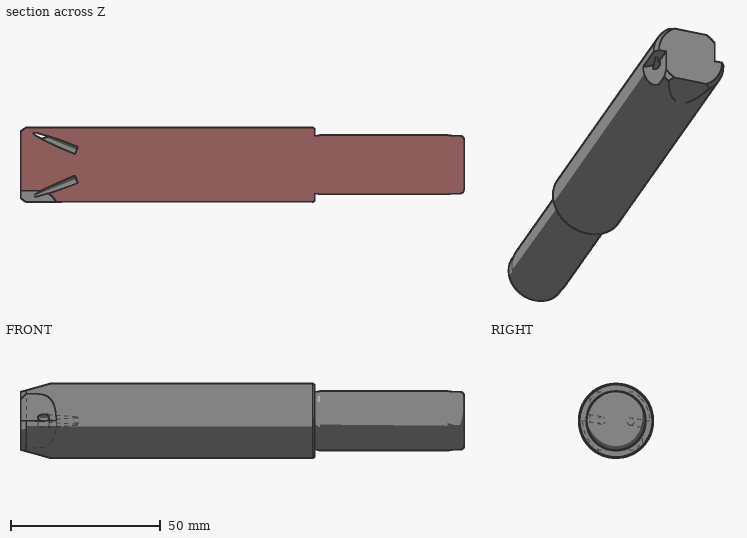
import cadquery as cq
import math

total_length = 148.38
body_diameter = 25.0
shank_length = 50.0
shank_diameter = 20.0
relief_diameter = 19.5
body_length = total_length - shank_length
body_radius = body_diameter / 2
shank_radius = shank_diameter / 2
relief_radius = relief_diameter / 2

nose_chamfer_length = 1.8
nose_chamfer_depth = 1.25
shoulder_chamfer_length = 0.7
shoulder_chamfer_depth = 0.4
end_rounding = 1.5

neck_length = 0.9
neck_taper_length = 0.9
end_relief_length = 4.0
end_taper_length = 1.6

flat_length = 10.0
flat_depth = 2.8

pocket_wall_offset = 8.7
pocket_wall_length = 5.8
pocket_curve_radius = 6.75

coolant_diameter = 2.5
coolant_mouth = (7.5, -9.3, 1.0)
coolant_swing = 22.0
coolant_rise = 4.0
coolant_depth = 12.0
coolant_run_out = 5.0


def make_turned_blank():
    """Body, shoulder and necked shank as one revolved profile, rounded at the shank end."""
    neck_end = body_length + neck_length
    relief_start = total_length - end_relief_length
    profile = [
        (0, 0),
        (0, body_radius - nose_chamfer_depth),
        (nose_chamfer_length, body_radius),
        (body_length - shoulder_chamfer_length, body_radius),
        (body_length, body_radius - shoulder_chamfer_depth),
        (body_length, relief_radius),
        (neck_end, relief_radius),
        (neck_end + neck_taper_length, shank_radius),
        (relief_start - end_taper_length, shank_radius),
        (relief_start, relief_radius),
        (total_length, relief_radius),
        (total_length, 0),
    ]
    blank = cq.Workplane("XY").polyline(profile).close().revolve(360, (0, 0, 0), (1, 0, 0))
    return blank.faces(">X").edges().fillet(end_rounding)


def make_nose_flat():
    """Wedge that cuts the sloping flat on the +Z side of the nose."""
    return (
        cq.Workplane("XZ")
        .polyline([(0, body_radius - flat_depth), (flat_length, body_radius), (0, body_radius)])
        .close()
        .extrude(body_radius, both=True)
    )


def make_pocket():
    """Insert pocket on the -Y side, open upwards, with a side wall that curves outwards at the rear."""
    curve_center_y = -pocket_wall_offset - pocket_curve_radius
    diagonal = pocket_curve_radius * math.cos(math.radians(45))
    return (
        cq.Workplane("XY")
        .moveTo(0, curve_center_y)
        .lineTo(0, -pocket_wall_offset)
        .lineTo(pocket_wall_length, -pocket_wall_offset)
        .threePointArc(
            (pocket_wall_length + diagonal, curve_center_y + diagonal),
            (pocket_wall_length + pocket_curve_radius, curve_center_y),
        )
        .close()
        .extrude(body_radius)
    )


def make_coolant_hole():
    """Blind round hole running from the pocket back and down into the body."""
    swing = math.radians(coolant_swing)
    rise = math.radians(coolant_rise)
    direction = cq.Vector(
        math.cos(rise) * math.cos(swing),
        math.cos(rise) * math.sin(swing),
        -math.sin(rise),
    )
    start = cq.Vector(*coolant_mouth) - direction * coolant_run_out
    length = coolant_run_out + coolant_depth
    return cq.Workplane(cq.Solid.makeCylinder(coolant_diameter / 2, length, start, direction))


result = make_turned_blank()
for cutter in (make_nose_flat(), make_pocket(), make_coolant_hole()):
    opposite_cutter = cutter.rotate((0, 0, 0), (1, 0, 0), 180)
    result = result.cut(cutter).cut(opposite_cutter)